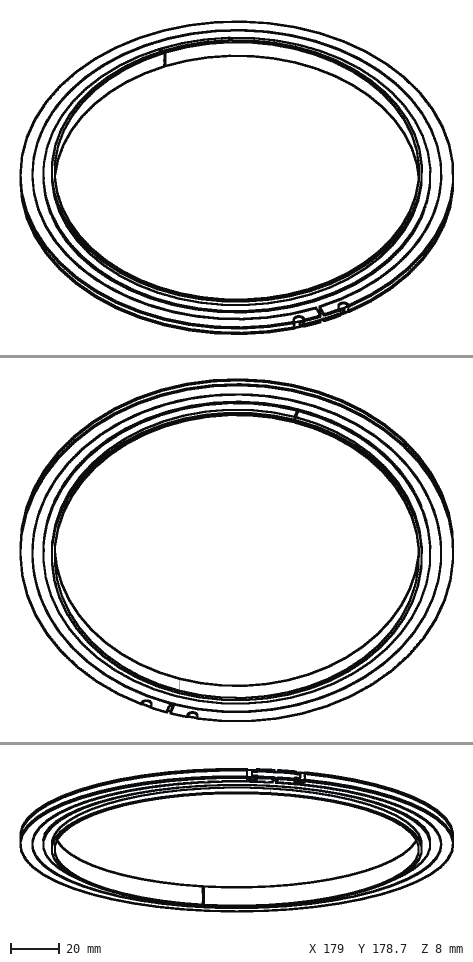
import cadquery as cq
import math


axis_start = (0, 0, 0)
axis_end = (0, 0, 1)
full_turn = 360.0

flange_thickness = 3.9

cord_radius = 2.6
cord_center_radius = 82.4

bore_radius = 75.2
lip_radius = 76.4
lip_height = 8.0
inner_rim_radius = 79.9
inner_slit_width = 0.5

wire_radius = 1.25
link_outer_radius = 89.62
wire_center_radius = link_outer_radius - wire_radius
pin_radius = 2.15
pin_height = 3.2
pin_center_radius = 88.75
pin_offset = 10.0
pin_angle = math.degrees(math.asin(pin_offset / pin_center_radius))

outer_radius = 178.71 / 2
outer_rim_radius = 84.4
split_width = 1.6
groove_radius = wire_radius


def tube(outer, inner, height):
    """Ring with a rectangular section, centred on Z = 0."""
    base = cq.Workplane("XY").workplane(offset=-height / 2)
    return base.circle(outer).circle(inner).extrude(height)


def torus(center_radius, section_radius, start_angle=0.0, sweep=full_turn):
    """Round-section ring about Z, swept from an angle measured from +X."""
    section = cq.Workplane("XZ").center(center_radius, 0).circle(section_radius)
    ring = section.revolve(sweep, (-center_radius, 0), (-center_radius, 1))
    return ring.rotate(axis_start, axis_end, start_angle)


def radial_gap(width, side):
    """Block that opens a ring at +X (side = 1) or -X (side = -1)."""
    block = cq.Workplane("XY").box(outer_radius, width, 2 * lip_height)
    return block.translate((side * outer_radius, 0, 0))


def pins(height):
    """Upright cylinders at the two ends of the link."""
    cylinders = []
    for angle in (-pin_angle, pin_angle):
        pin = cq.Workplane("XY").workplane(offset=-height / 2)
        pin = pin.center(pin_center_radius, 0).circle(pin_radius).extrude(height)
        cylinders.append(pin.rotate(axis_start, axis_end, angle))
    return cylinders


def make_o_ring():
    return torus(cord_center_radius, cord_radius)


def make_inner_ring(o_ring):
    half_lip = lip_height / 2
    half_flange = flange_thickness / 2
    section = cq.Workplane("XZ").polyline([
        (bore_radius, -half_lip),
        (lip_radius, -half_lip),
        (lip_radius, -half_flange),
        (inner_rim_radius, -half_flange),
        (inner_rim_radius, half_flange),
        (lip_radius, half_flange),
        (lip_radius, half_lip),
        (bore_radius, half_lip),
    ]).close()
    ring = section.revolve(full_turn, axis_start, (0, 1, 0))
    return ring.cut(o_ring).cut(radial_gap(inner_slit_width, -1))


def make_link():
    link = torus(wire_center_radius, wire_radius, -pin_angle, 2 * pin_angle)
    rim_envelope = tube(outer_radius, outer_rim_radius, flange_thickness)
    for pin in pins(pin_height):
        link = link.union(pin.intersect(rim_envelope))
    return link


def make_outer_ring(o_ring, link):
    ring = tube(outer_radius, outer_rim_radius, flange_thickness)
    ring = ring.cut(o_ring)
    ring = ring.cut(torus(outer_radius, groove_radius))
    ring = ring.cut(radial_gap(split_width, 1))
    for pin_hole in pins(flange_thickness):
        ring = ring.cut(pin_hole)
    return ring.cut(link)


o_ring = make_o_ring()
inner_ring = make_inner_ring(o_ring)
link = make_link()
outer_ring = make_outer_ring(o_ring, link)

bodies = [inner_ring, o_ring, outer_ring, link]
result = cq.Compound.makeCompound([body.solids().val() for body in bodies])